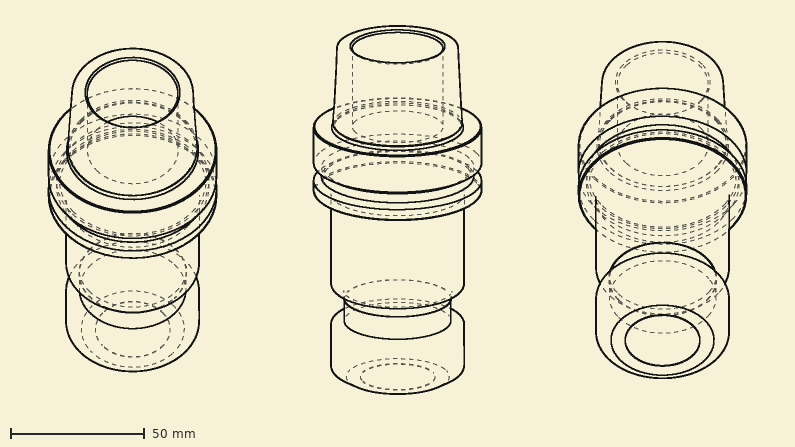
import cadquery as cq
import math


SHANK_TOP_Z = 32.0
GAUGE_Z = 6.3
GAUGE_RADIUS = 24.005
RADIUS_PER_LENGTH = 0.05
TAPER_END_Z = 2.4
SHANK_TOP_FILLET = 0.75
BORE_RADIUS = 17.0
BORE_DEPTH = 32.0
BORE_CHAMFER = 0.75

RELIEF_RADIUS = 23.7
RELIEF_LIP_Z = 1.2
RELIEF_BOTTOM_Z = -0.4
RELIEF_ROOT_RADIUS = 1.0
DISH_INNER_RADIUS = RELIEF_RADIUS + RELIEF_ROOT_RADIUS
DISH_OUTER_RADIUS = 26.2

FLANGE_RADIUS = 31.5
FLANGE_HEIGHT = 26.0
FLANGE_CHAMFER = 0.4
GROOVE_CENTER_Z = -18.1
GROOVE_FLOOR_RADIUS = 27.5
GROOVE_SLOT_RADIUS = 28.6
GROOVE_SLOT_WIDTH = 3.6
GROOVE_FLANK_ANGLE = 30.0
GROOVE_ROOT_FILLET = 0.4

BODY_RADIUS = 25.0
BODY_BOTTOM_Z = -64.0
BODY_ROOT_FILLET = 1.0
BODY_BOTTOM_FILLET = 1.5
NECK_RADIUS = 20.2
NECK_ROOT_FILLET = 2.0
NECK_STEP_Z = -68.6
THREAD_RADIUS = 20.0

NUT_RADIUS = 25.0
NUT_TOP_Z = -77.6
NUT_TOP_FILLET = 1.5
NUT_CONE_TOP_Z = -96.4
NUT_FACE_Z = -99.8
NUT_FACE_RADIUS = 19.3
NUT_EDGE_FILLET = 2.0

COLLET_RADIUS = 14.0
COLLET_FACE_Z = -100.03

MATCH_TOLERANCE = 0.01


def taper_radius(z):
    """Outer radius of the shank taper at height z."""
    return GAUGE_RADIUS + (GAUGE_Z - z) * RADIUS_PER_LENGTH


def revolve(points):
    """Solid of revolution about Z of an outline given as (radius, z) points."""
    return cq.Workplane("XZ").polyline(points).close().revolve(360, (0, 0), (0, 1))


def fillet_circle(solid, radius, z, fillet_radius):
    """Fillet the circular edge that has the given radius and lies at height z."""
    def is_wanted(edge):
        return abs(edge.radius() - radius) < MATCH_TOLERANCE and abs(edge.Center().z - z) < MATCH_TOLERANCE

    return solid.edges("%CIRCLE").filter(is_wanted).fillet(fillet_radius)


def make_shank():
    lip_radius = taper_radius(TAPER_END_Z)
    lip_drop = lip_radius - RELIEF_RADIUS
    root_top_z = RELIEF_BOTTOM_Z + RELIEF_ROOT_RADIUS
    arc_inset = RELIEF_ROOT_RADIUS * (1 - math.sqrt(0.5))
    profile = (
        cq.Workplane("XZ")
        .moveTo(0, RELIEF_BOTTOM_Z)
        .lineTo(DISH_INNER_RADIUS, RELIEF_BOTTOM_Z)
        .threePointArc(
            (RELIEF_RADIUS + arc_inset, RELIEF_BOTTOM_Z + arc_inset),
            (RELIEF_RADIUS, root_top_z),
        )
        .lineTo(RELIEF_RADIUS, RELIEF_LIP_Z - lip_drop)
        .lineTo(lip_radius, RELIEF_LIP_Z)
        .lineTo(lip_radius, TAPER_END_Z)
        .lineTo(taper_radius(SHANK_TOP_Z), SHANK_TOP_Z)
        .lineTo(0, SHANK_TOP_Z)
        .close()
    )
    shank = profile.revolve(360, (0, 0), (0, 1))
    return shank.faces(">Z").edges().fillet(SHANK_TOP_FILLET)


def make_flange():
    flange = (
        cq.Workplane("XY")
        .circle(FLANGE_RADIUS)
        .extrude(-FLANGE_HEIGHT)
        .edges()
        .chamfer(FLANGE_CHAMFER)
    )
    half_slot = GROOVE_SLOT_WIDTH / 2
    flank_rise = (FLANGE_RADIUS - GROOVE_SLOT_RADIUS) * math.tan(math.radians(GROOVE_FLANK_ANGLE))
    half_mouth = half_slot + flank_rise
    groove = revolve([
        (GROOVE_FLOOR_RADIUS, GROOVE_CENTER_Z + half_slot),
        (GROOVE_SLOT_RADIUS, GROOVE_CENTER_Z + half_slot),
        (FLANGE_RADIUS, GROOVE_CENTER_Z + half_mouth),
        (FLANGE_RADIUS, GROOVE_CENTER_Z - half_mouth),
        (GROOVE_SLOT_RADIUS, GROOVE_CENTER_Z - half_slot),
        (GROOVE_FLOOR_RADIUS, GROOVE_CENTER_Z - half_slot),
    ])
    dish = revolve([
        (RELIEF_RADIUS, 0),
        (DISH_OUTER_RADIUS, 0),
        (DISH_INNER_RADIUS, RELIEF_BOTTOM_Z),
        (RELIEF_RADIUS, RELIEF_BOTTOM_Z),
    ])
    flange = flange.cut(groove).cut(dish)
    for corner_z in (GROOVE_CENTER_Z + half_slot, GROOVE_CENTER_Z - half_slot):
        flange = fillet_circle(flange, GROOVE_FLOOR_RADIUS, corner_z, GROOVE_ROOT_FILLET)
    return flange


def make_nut():
    nut = revolve([
        (0, NUT_TOP_Z),
        (NUT_RADIUS, NUT_TOP_Z),
        (NUT_RADIUS, NUT_CONE_TOP_Z),
        (NUT_FACE_RADIUS, NUT_FACE_Z),
        (0, NUT_FACE_Z),
    ])
    nut = fillet_circle(nut, NUT_RADIUS, NUT_TOP_Z, NUT_TOP_FILLET)
    nut = fillet_circle(nut, NUT_RADIUS, NUT_CONE_TOP_Z, NUT_EDGE_FILLET)
    collet_face = cq.Workplane("XY", origin=(0, 0, NUT_FACE_Z))
    collet = collet_face.circle(COLLET_RADIUS).extrude(COLLET_FACE_Z - NUT_FACE_Z)
    return nut.union(collet)


def make_body():
    """Body, neck and thread stub, from the flange underside to the nut."""
    return revolve([
        (0, -FLANGE_HEIGHT),
        (BODY_RADIUS, -FLANGE_HEIGHT),
        (BODY_RADIUS, BODY_BOTTOM_Z),
        (NECK_RADIUS, BODY_BOTTOM_Z),
        (NECK_RADIUS, NECK_STEP_Z),
        (THREAD_RADIUS, NECK_STEP_Z),
        (THREAD_RADIUS, NUT_TOP_Z),
        (0, NUT_TOP_Z),
    ])


def round_body(holder):
    """Fillet the body under the flange, its lower rim and the neck root."""
    holder = fillet_circle(holder, BODY_RADIUS, -FLANGE_HEIGHT, BODY_ROOT_FILLET)
    holder = fillet_circle(holder, BODY_RADIUS, BODY_BOTTOM_Z, BODY_BOTTOM_FILLET)
    return fillet_circle(holder, NECK_RADIUS, BODY_BOTTOM_Z, NECK_ROOT_FILLET)


def cut_bore(holder):
    bore_floor_z = SHANK_TOP_Z - BORE_DEPTH
    bore = revolve([
        (0, bore_floor_z),
        (BORE_RADIUS, bore_floor_z),
        (BORE_RADIUS, SHANK_TOP_Z - BORE_CHAMFER),
        (BORE_RADIUS + BORE_CHAMFER, SHANK_TOP_Z),
        (0, SHANK_TOP_Z),
    ])
    return holder.cut(bore)


holder = make_shank().union(make_flange()).union(make_body()).union(make_nut())
result = cut_bore(round_body(holder))